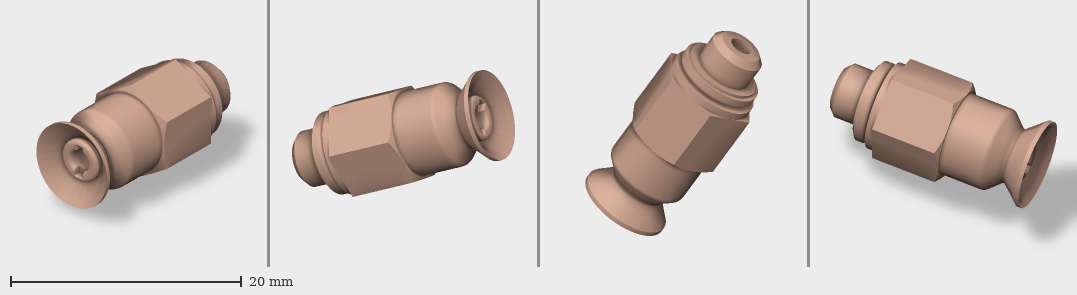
import cadquery as cq
import math

length = 19.0
shank_end = 2.83
collar_end = 3.1
gasket_end = 4.08
neck_end = 4.3
flange_end = 5.0
hex_end = 11.29
body_end = 15.03
waist_end = 16.83
rim_start = 18.58

shank_diameter = 5.0
shank_chamfer = 0.59
collar_diameter = 6.6
gasket_diameter = 7.4
gasket_fillet = 0.4
neck_diameter = 6.25
across_flats = 8.0
body_diameter = 7.5
waist_diameter = 5.0
cup_diameter = 8.0

body_round_radius = 0.6
waist_round_radius = 0.53
shoulder_angle = math.radians(45)
hex_chamfer_angle = math.radians(30)

bore_diameter = 2.0
nozzle_diameter = 4.0
nozzle_face = 18.07
hollow_bottom = 17.38
nozzle_outer_fillet = 0.4
nozzle_inner_fillet = 0.36
slot_width = 1.0
slot_depth = 0.76
slot_diameter = nozzle_diameter - 2 * nozzle_outer_fillet


def along_axis(station):
    """Workplane across the axis at a station, facing the suction cup."""
    return cq.Workplane("XZ", origin=(0, length / 2 - station, 0))


def cylinder(diameter, start, end):
    return along_axis(start).circle(diameter / 2).extrude(end - start)


def revolve_about_axis(profile):
    """Turn a closed (radius, Y) profile about the Y axis."""
    return profile.close().revolve(360, (0, 0, 0), (0, 1, 0))


def profile_point(radius, station):
    return radius, length / 2 - station


def make_connector():
    """Shank, collar, gasket, neck and flange."""
    shank = cylinder(shank_diameter, 0, shank_end).faces(">Y").chamfer(shank_chamfer)
    gasket = cylinder(gasket_diameter, collar_end, gasket_end).faces("<Y").edges().fillet(gasket_fillet)
    return (
        shank
        .union(cylinder(collar_diameter, shank_end, collar_end))
        .union(gasket)
        .union(cylinder(neck_diameter, gasket_end, neck_end))
        .union(cylinder(across_flats, neck_end, flange_end))
    )


def make_hexagon():
    """Hexagon with corners on the Z axis and a conical chamfer on its front end."""
    across_corners = across_flats / math.cos(math.pi / 6)
    prism = (
        along_axis(flange_end)
        .transformed(rotate=(0, 0, 90))
        .polygon(6, across_corners)
        .extrude(hex_end - flange_end)
    )
    cone_length = hex_end - flange_end
    cone_growth = cone_length / math.tan(hex_chamfer_angle)
    chamfer_cone = revolve_about_axis(
        cq.Workplane("XY")
        .moveTo(*profile_point(0, hex_end))
        .lineTo(*profile_point(across_flats / 2, hex_end))
        .lineTo(*profile_point(across_flats / 2 + cone_growth, flange_end))
        .lineTo(*profile_point(0, flange_end))
    )
    return prism.intersect(chamfer_cone)


def make_cup():
    """Cylindrical body, rounded shoulder, waist and flared lip."""
    body_radius = body_diameter / 2
    waist_radius = waist_diameter / 2
    cup_radius = cup_diameter / 2
    sine = math.sin(shoulder_angle)
    rise = 1 - math.cos(shoulder_angle)
    half_sine = math.sin(shoulder_angle / 2)
    half_rise = 1 - math.cos(shoulder_angle / 2)

    body_round_end = body_end + body_round_radius * sine
    shoulder_radius = body_radius - body_round_radius * rise
    waist_start = waist_end - waist_round_radius * sine
    waist_start_radius = waist_radius + waist_round_radius * rise

    return revolve_about_axis(
        cq.Workplane("XY")
        .moveTo(*profile_point(0, hex_end))
        .lineTo(*profile_point(body_radius, hex_end))
        .lineTo(*profile_point(body_radius, body_end))
        .threePointArc(
            profile_point(
                body_radius - body_round_radius * half_rise,
                body_end + body_round_radius * half_sine,
            ),
            profile_point(shoulder_radius, body_round_end),
        )
        .lineTo(*profile_point(waist_start_radius, waist_start))
        .threePointArc(
            profile_point(
                waist_radius + waist_round_radius * half_rise,
                waist_end - waist_round_radius * half_sine,
            ),
            profile_point(waist_radius, waist_end),
        )
        .lineTo(*profile_point(cup_radius, rim_start))
        .lineTo(*profile_point(cup_radius, length))
        .lineTo(*profile_point(0, length))
    )


def make_cup_hollow():
    """Cone thinning the lip to an edge at the rim and ending at the nozzle wall."""
    cup_radius = cup_diameter / 2
    nozzle_radius = nozzle_diameter / 2
    return revolve_about_axis(
        cq.Workplane("XY")
        .moveTo(*profile_point(0, length))
        .lineTo(*profile_point(cup_radius, length))
        .lineTo(*profile_point(nozzle_radius, hollow_bottom))
        .lineTo(*profile_point(0, hollow_bottom))
    )


def make_nozzle():
    """Round-lipped tube inside the cup, with a slot across its mouth."""
    tube = cylinder(nozzle_diameter, body_end, nozzle_face)
    tube = tube.cut(cylinder(bore_diameter, body_end, nozzle_face))
    tube = tube.faces("<Y").edges(cq.selectors.RadiusNthSelector(1)).fillet(nozzle_outer_fillet)
    tube = tube.faces("<Y").edges(cq.selectors.RadiusNthSelector(0)).fillet(nozzle_inner_fillet)
    slot_floor = nozzle_face - slot_depth
    slot = (
        along_axis(slot_floor)
        .rect(slot_width, nozzle_diameter)
        .extrude(slot_depth)
        .intersect(cylinder(slot_diameter, slot_floor, nozzle_face))
    )
    return tube.cut(slot)


outer = make_connector().union(make_hexagon()).union(make_cup())
hollowed = outer.cut(make_cup_hollow()).cut(cylinder(bore_diameter, 0, length))
nozzle_socket = cylinder(nozzle_diameter, body_end, length)
result = hollowed.cut(nozzle_socket).union(make_nozzle())